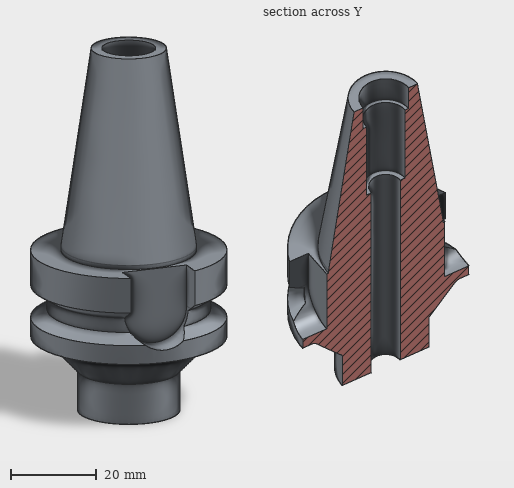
import cadquery as cq

total_height = 88.4
nose_top = 9.8
flange_bottom = 18.0
groove_lower_edge = 22.6
groove_floor_bottom = 24.7
groove_floor_top = 28.2
groove_upper_edge = 30.6
flange_top = 39.1
taper_start = 40.05

nose_radius = 12.0
cone_top_radius = 19.7
flange_radius = 23.0
groove_radius = 19.2
taper_large_radius = 15.87
taper_ratio = 7 / 24
taper_small_radius = taper_large_radius - (total_height - taper_start) * taper_ratio / 2
cone_fillet = 2.0
selection_margin = 0.1

pilot_radius = 6.3
pilot_depth = 6.8
thread_radius = 5.3
thread_depth = 29.2
through_radius = 4.0

slot_width = 16.1
slot_floor_x = 16.35
slot_bottom = 21.0


def make_body():
    """Revolve the outside outline and round the corner under the flange."""
    outline = [
        (0, 0),
        (nose_radius, 0),
        (nose_radius, nose_top),
        (cone_top_radius, flange_bottom),
        (flange_radius, flange_bottom),
        (flange_radius, groove_lower_edge),
        (groove_radius, groove_floor_bottom),
        (groove_radius, groove_floor_top),
        (flange_radius, groove_upper_edge),
        (flange_radius, flange_top),
        (taper_large_radius, flange_top),
        (taper_large_radius, taper_start),
        (taper_small_radius, total_height),
        (0, total_height),
    ]
    body = cq.Workplane("XZ").polyline(outline).close().revolve(360, (0, 0), (0, 1))
    under_flange = cq.selectors.BoxSelector(
        (-flange_radius, -flange_radius, flange_bottom - selection_margin),
        (flange_radius, flange_radius, flange_bottom + selection_margin),
    )
    corner = cq.selectors.RadiusNthSelector(0)
    return body.edges("%CIRCLE").edges(under_flange).edges(corner).fillet(cone_fillet)


def make_bore():
    """Stepped bore cutter, widest at the small end of the taper."""
    top = cq.Workplane("XY").workplane(offset=total_height)
    through = top.circle(through_radius).extrude(-total_height)
    thread = top.circle(thread_radius).extrude(-thread_depth)
    pilot = top.circle(pilot_radius).extrude(-pilot_depth)
    return through.union(thread).union(pilot)


def make_slot(side):
    """Round-ended drive slot cutter; side is -1 or +1 along X."""
    half_width = slot_width / 2
    arc_center = slot_bottom + half_width
    return (
        cq.Workplane("YZ", origin=(side * slot_floor_x, 0, 0))
        .moveTo(-half_width, flange_top)
        .lineTo(-half_width, arc_center)
        .threePointArc((0, slot_bottom), (half_width, arc_center))
        .lineTo(half_width, flange_top)
        .close()
        .extrude(side * flange_radius)
    )


result = make_body().cut(make_bore())
for side in (-1, 1):
    result = result.cut(make_slot(side))